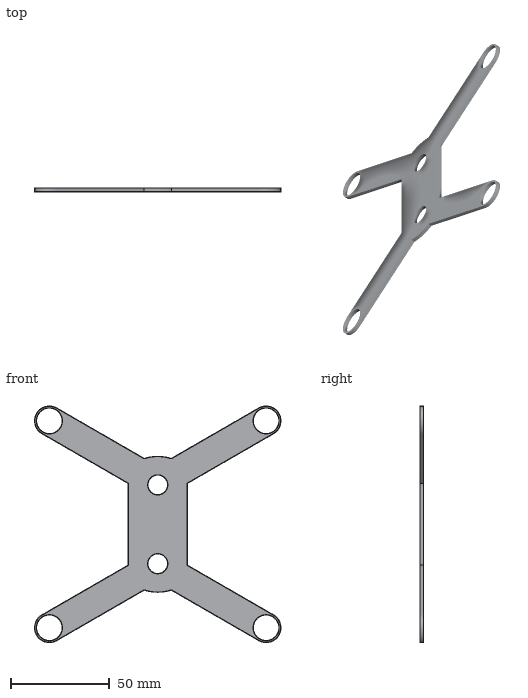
import cadquery as cq
import math

thickness = 2.0
body_width = 30.0
body_height = 69.0
crown_radius = 22.0

body_hole_spacing = 40.0
body_hole_diameter = 10.0

overall_width = 125.0
overall_height = 120.0
arm_width = 15.0
arm_hole_diameter = 13.0
arm_angle = 30.0

arm_end_x = (overall_width - arm_width) / 2
arm_end_z = (overall_height - arm_width) / 2
arm_length = arm_end_x / math.cos(math.radians(arm_angle))
arm_root_z = arm_end_z - arm_end_x * math.tan(math.radians(arm_angle))
half_width = body_width / 2
crown_top_z = body_height / 2
crown_drop = crown_radius - math.sqrt(crown_radius**2 - half_width**2)
shoulder_z = crown_top_z - crown_drop

corners = [(side_x, side_z) for side_x in (-1, 1) for side_z in (-1, 1)]
arm_ends = [(side_x * arm_end_x, side_z * arm_end_z) for side_x, side_z in corners]
body_hole_centres = [(0, side_z * body_hole_spacing / 2) for side_z in (-1, 1)]


def front_plane():
    """Sketch plane on the front face, with local axes along X and Z."""
    return cq.Workplane("XZ")


def through_plate(sketch):
    """Extrude a closed outline through the plate thickness, toward +Y."""
    return sketch.extrude(-thickness)


def make_body():
    """Centre plate with straight sides and a shallow arc across each end."""
    return through_plate(
        front_plane()
        .moveTo(-half_width, -shoulder_z)
        .threePointArc((0, -crown_top_z), (half_width, -shoulder_z))
        .lineTo(half_width, shoulder_z)
        .threePointArc((0, crown_top_z), (-half_width, shoulder_z))
        .close()
    )


def make_arm(side_x, side_z):
    """Round-ended arm running from the plate's centre line out to one corner."""
    end_x = side_x * arm_end_x
    end_z = side_z * arm_end_z
    middle_z = side_z * (arm_end_z + arm_root_z) / 2
    bar = through_plate(
        front_plane()
        .center(end_x / 2, middle_z)
        .transformed(rotate=(0, 0, side_x * side_z * arm_angle))
        .rect(arm_length, arm_width)
    )
    tip = through_plate(front_plane().center(end_x, end_z).circle(arm_width / 2))
    return bar.union(tip)


def make_holes(centres, diameter):
    """Cylinders through the plate at the given centres."""
    return through_plate(front_plane().pushPoints(centres).circle(diameter / 2))


result = make_body()
for side_x, side_z in corners:
    result = result.union(make_arm(side_x, side_z))

result = result.cut(make_holes(body_hole_centres, body_hole_diameter))
result = result.cut(make_holes(arm_ends, arm_hole_diameter))
result = result.clean()